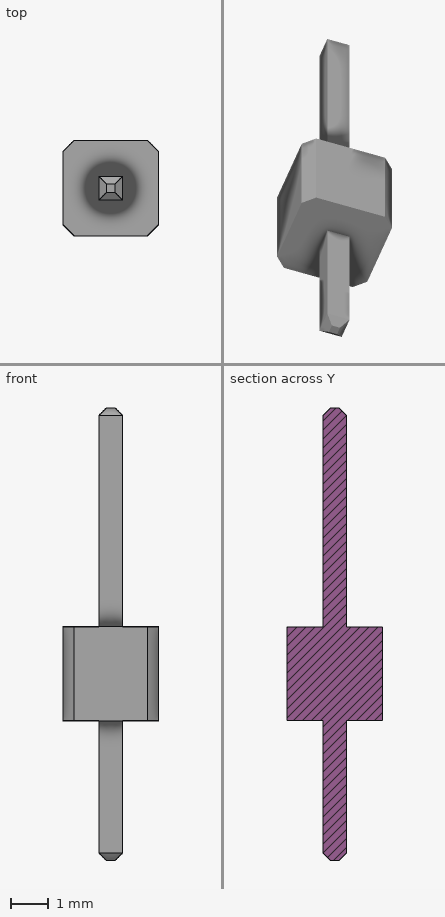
import cadquery as cq

body_width = 2.54
body_height = 2.5
body_bevel = 0.3

pin_width = 0.63
pin_above_body = 5.8
pin_below_body = 3.7
pin_tip_bevel = 0.2


def make_body():
    """Block standing on Z = 0, centred on the pin axis."""
    block = cq.Workplane("XY").box(body_width, body_width, body_height, centered=(True, True, False))
    return block.edges("|Z").chamfer(body_bevel)


def make_pin():
    """Square pin along Z with its four end edges bevelled at each end."""
    pin_length = pin_below_body + body_height + pin_above_body
    pin = (
        cq.Workplane("XY")
        .box(pin_width, pin_width, pin_length, centered=(True, True, False))
        .translate((0, 0, -pin_below_body))
    )
    return pin.faces("<Z or >Z").edges().chamfer(pin_tip_bevel)


result = make_body().union(make_pin())